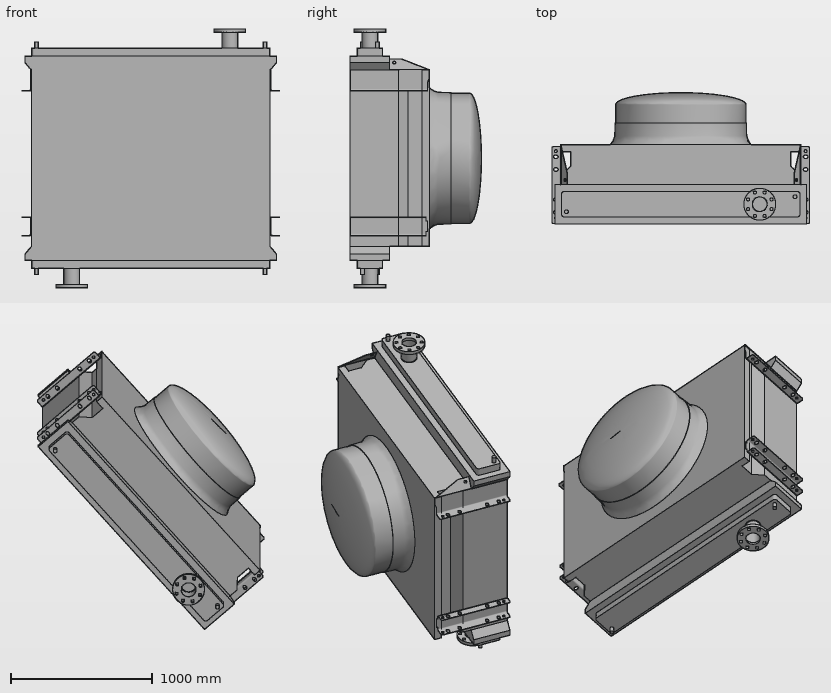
import cadquery as cq
import math


WALL_X = 844.0
CORE_HALF_HEIGHT = 622.0
CORE_DEPTH = 344.0
SHROUD_BACK_Y = 562.0

RECESS_DEPTH = 65.0
RECESS_BACK_Y = 510.0

HEADER_HALF_WIDTH = 890.0
HEADER_HALF_HEIGHT = 721.0
HEADER_EDGE_HEIGHT = 44.0
HEADER_DEPTH = 280.0

TANK_HALF_WIDTH = 842.0
TANK_WIDTH_Y = 181.0
TANK_HEIGHT = 57.0
TANK_CORNER_RADIUS = 20.0
TANK_Y = 140.0
TANK_TOP_Z = HEADER_HALF_HEIGHT + TANK_HEIGHT

STUD_DIAMETER = 27.0
STUD_HEIGHT = 44.0
STUD_X = 807.0
STUD_OFFSET_Y = 53.0

TOTAL_HALF_HEIGHT = 915.0
PIPE_X = 558.0
PIPE_DIAMETER = 113.0
PIPE_BORE = 102.0
FLANGE_DIAMETER = 225.0
FLANGE_THICKNESS = 25.0
BOLT_COUNT = 8
BOLT_CIRCLE_RADIUS = 90.0
BOLT_HOLE_DIAMETER = 22.0

HOOD_RADIUS = 461.0
HOOD_END_Y = 930.0
HOOD_DOME_HEIGHT = 86.0
HOOD_FLARE_END_Y = 714.0
HOOD_FLARE_TOP_RADIUS = 465.0
HOOD_FLARE_MIDDLE_Y = 600.0
HOOD_FLARE_MIDDLE_RADIUS = 474.0
HOOD_BASE_RADIUS = 498.0

SHEET = 4.0
BEND_RADIUS = 10.0
BRACKET_SPAN = 1820.0
BRACKET_FRONT_Y = 4.0
BRACKET_BACK_Y = 549.0
LIP_CORNER_RADIUS = 13.0

LIP_HOLE_X = 882.0
LIP_HOLE_MIDDLE_Y = 280.0
SLOT_OFFSETS_Y = (106.0, 195.0)
SLOT_LENGTH = 31.0
SLOT_WIDTH = 22.0
END_HOLE_OFFSET_Y = 236.0
END_HOLE_DIAMETER = 18.0

UPPER_LIP_Z = 475.0
UPPER_TAPER_BOTTOM_Z = 540.0
UPPER_TAPER_HEIGHT = 31.0

LOWER_TOP_Z = -414.0
LOWER_BOTTOM_Z = -547.0
LOWER_LIP_BACK_Y = 538.0
LOWER_RELIEF_HEIGHT = 30.0

FLAP_BASE_Z = 628.0
FLAP_LEAN = 30.0
FLAP_TOP_Z = 703.0
FLAP_PEAK_Y = 365.0
FLAP_BACK_Y = 556.0
FLAP_HOLE_Y = 313.0
FLAP_HOLE_Z = 677.0
FLAP_HOLE_DIAMETER = 20.0


def span_box(x0, x1, y0, y1, z0, z1):
    """Box between two opposite corners."""
    return cq.Workplane("XY").box(x1 - x0, y1 - y0, z1 - z0, centered=False).translate((x0, y0, z0))


def make_core():
    return span_box(-WALL_X, WALL_X, 0, SHROUD_BACK_Y, -CORE_HALF_HEIGHT, CORE_HALF_HEIGHT)


def cut_side_recesses(body):
    floor_x = WALL_X - RECESS_DEPTH
    recess = (
        cq.Workplane("XY", origin=(0, 0, -CORE_HALF_HEIGHT))
        .polyline([
            (-WALL_X, CORE_DEPTH),
            (-floor_x, CORE_DEPTH + RECESS_DEPTH),
            (-floor_x, RECESS_BACK_Y),
            (-WALL_X, RECESS_BACK_Y),
        ])
        .close()
        .extrude(2 * CORE_HALF_HEIGHT)
    )
    return body.cut(recess).cut(recess.mirror("YZ"))


def make_header():
    """Top header plate: its ends flare out from the core walls."""
    edge_z = HEADER_HALF_HEIGHT - HEADER_EDGE_HEIGHT
    return (
        cq.Workplane("XZ")
        .polyline([
            (-WALL_X, CORE_HALF_HEIGHT),
            (-HEADER_HALF_WIDTH, edge_z),
            (-HEADER_HALF_WIDTH, HEADER_HALF_HEIGHT),
            (HEADER_HALF_WIDTH, HEADER_HALF_HEIGHT),
            (HEADER_HALF_WIDTH, edge_z),
            (WALL_X, CORE_HALF_HEIGHT),
        ])
        .close()
        .extrude(-HEADER_DEPTH)
    )


def make_tank():
    tank = (
        cq.Workplane("XY", origin=(0, TANK_Y, HEADER_HALF_HEIGHT))
        .rect(2 * TANK_HALF_WIDTH, TANK_WIDTH_Y)
        .extrude(TANK_HEIGHT)
        .edges("|Z")
        .fillet(TANK_CORNER_RADIUS)
    )
    studs = (
        cq.Workplane("XY", origin=(0, TANK_Y, TANK_TOP_Z))
        .pushPoints([(-STUD_X, -STUD_OFFSET_Y), (STUD_X, STUD_OFFSET_Y)])
        .circle(STUD_DIAMETER / 2)
        .extrude(STUD_HEIGHT)
    )
    return tank.union(studs)


def make_pipe():
    """Pipe with a bolted flange, open down to the tank."""
    pipe_height = TOTAL_HALF_HEIGHT - TANK_TOP_Z
    pipe = (
        cq.Workplane("XY", origin=(PIPE_X, TANK_Y, TANK_TOP_Z))
        .circle(PIPE_DIAMETER / 2)
        .extrude(pipe_height)
    )
    flange = (
        cq.Workplane("XY", origin=(PIPE_X, TANK_Y, TOTAL_HALF_HEIGHT - FLANGE_THICKNESS))
        .circle(FLANGE_DIAMETER / 2)
        .extrude(FLANGE_THICKNESS)
        .faces(">Z")
        .workplane(origin=(PIPE_X, TANK_Y, 0))
        .polarArray(BOLT_CIRCLE_RADIUS, 180 / BOLT_COUNT, 360, BOLT_COUNT)
        .hole(BOLT_HOLE_DIAMETER)
    )
    bore = (
        cq.Workplane("XY", origin=(PIPE_X, TANK_Y, TANK_TOP_Z))
        .circle(PIPE_BORE / 2)
        .extrude(pipe_height)
    )
    return pipe.union(flange).cut(bore)


def make_hood():
    """Fan hood turned about Y: flared foot, straight barrel and elliptical dome.

    The flare leaves the barrel straight and ends at 45 degrees.
    """
    dome_start_y = HOOD_END_Y - HOOD_DOME_HEIGHT
    return (
        cq.Workplane("XY")
        .moveTo(HOOD_RADIUS, HOOD_FLARE_END_Y)
        .lineTo(HOOD_FLARE_TOP_RADIUS, HOOD_FLARE_END_Y)
        .spline(
            [(HOOD_FLARE_MIDDLE_RADIUS, HOOD_FLARE_MIDDLE_Y), (HOOD_BASE_RADIUS, SHROUD_BACK_Y)],
            tangents=[(0, -1), (1, -1)],
            includeCurrent=True,
        )
        .lineTo(0, SHROUD_BACK_Y)
        .lineTo(0, HOOD_END_Y)
        .ellipseArc(HOOD_RADIUS, HOOD_DOME_HEIGHT, 0, 90, sense=-1, startAtCurrent=True)
        .close()
        .revolve(360, (0, 0, 0), (0, 1, 0))
    )


def make_cooler():
    body = cut_side_recesses(make_core())
    upper_end = make_header().union(make_tank()).union(make_pipe())
    lower_end = upper_end.rotate((0, 0, 0), (0, 1, 0), 180)
    return body.union(upper_end).union(lower_end).union(make_hood())


def make_lip(bottom_z, back_y):
    """Flat lip of a left bracket, up to the bend, with a row of holes."""
    root_x = -WALL_X - SHEET - BEND_RADIUS
    lip = (
        span_box(-BRACKET_SPAN / 2, root_x, BRACKET_FRONT_Y, back_y, bottom_z, bottom_z + SHEET)
        .edges("|Z and <X")
        .fillet(LIP_CORNER_RADIUS)
    )
    slot_points = []
    end_hole_points = []
    for side in (-1, 1):
        slot_points += [(-LIP_HOLE_X, LIP_HOLE_MIDDLE_Y + side * offset) for offset in SLOT_OFFSETS_Y]
        end_hole_points.append((-LIP_HOLE_X, LIP_HOLE_MIDDLE_Y + side * END_HOLE_OFFSET_Y))
    plane = cq.Workplane("XY", origin=(0, 0, bottom_z))
    slots = plane.pushPoints(slot_points).slot2D(SLOT_LENGTH, SLOT_WIDTH).extrude(SHEET)
    end_holes = plane.pushPoints(end_hole_points).circle(END_HOLE_DIAMETER / 2).extrude(SHEET)
    return lip.cut(slots).cut(end_holes)


def make_bend(corner_z, up, back_y):
    """Rounded corner between a lip and the web; `up` is 1 if the web rises from the lip, else -1."""
    outer_radius = BEND_RADIUS + SHEET
    center_x = -WALL_X - outer_radius
    center_z = corner_z + up * outer_radius
    diagonal = math.sqrt(0.5)
    return (
        cq.Workplane("XZ", origin=(0, BRACKET_FRONT_Y, 0))
        .moveTo(center_x, corner_z)
        .threePointArc(
            (center_x + diagonal * outer_radius, center_z - up * diagonal * outer_radius),
            (-WALL_X, center_z),
        )
        .lineTo(-WALL_X - SHEET, center_z)
        .threePointArc(
            (center_x + diagonal * BEND_RADIUS, center_z - up * diagonal * BEND_RADIUS),
            (center_x, corner_z + up * SHEET),
        )
        .close()
        .extrude(BRACKET_FRONT_Y - back_y)
    )


def make_flap():
    """Pointed plate with a hole, folded inwards from the top edge of the upper bracket's web."""
    lean = math.radians(FLAP_LEAN)
    length = (FLAP_TOP_Z - FLAP_BASE_Z) / math.cos(lean)
    hole_height = (FLAP_HOLE_Z - FLAP_BASE_Z) / math.cos(lean)
    fold_x = -WALL_X - SHEET
    flap = (
        cq.Workplane("YZ", origin=(fold_x, 0, FLAP_BASE_Z))
        .polyline([
            (HEADER_DEPTH, 0),
            (FLAP_BACK_Y, 0),
            (FLAP_PEAK_Y, length),
            (HEADER_DEPTH, length),
        ])
        .close()
        .extrude(SHEET)
    )
    hole = (
        cq.Workplane("YZ", origin=(fold_x, FLAP_HOLE_Y, FLAP_BASE_Z + hole_height))
        .circle(FLAP_HOLE_DIAMETER / 2)
        .extrude(SHEET)
    )
    return flap.cut(hole).rotate((fold_x, 0, FLAP_BASE_Z), (fold_x, 1, FLAP_BASE_Z), FLAP_LEAN)


def make_upper_bracket():
    """Left upper bracket: a lip below a tall web that widens at the back, with a flap on top."""
    web_bottom_z = UPPER_LIP_Z + SHEET + BEND_RADIUS
    web = (
        cq.Workplane("YZ", origin=(-WALL_X - SHEET, 0, 0))
        .polyline([
            (BRACKET_FRONT_Y, web_bottom_z),
            (BRACKET_BACK_Y, web_bottom_z),
            (BRACKET_BACK_Y, UPPER_TAPER_BOTTOM_Z),
            (SHROUD_BACK_Y, UPPER_TAPER_BOTTOM_Z + UPPER_TAPER_HEIGHT),
            (SHROUD_BACK_Y, FLAP_BASE_Z),
            (HEADER_DEPTH, FLAP_BASE_Z),
            (HEADER_DEPTH, CORE_HALF_HEIGHT),
            (BRACKET_FRONT_Y, CORE_HALF_HEIGHT),
        ])
        .close()
        .extrude(SHEET)
    )
    lip = make_lip(UPPER_LIP_Z, BRACKET_BACK_Y)
    bend = make_bend(UPPER_LIP_Z, 1, BRACKET_BACK_Y)
    return web.union(bend).union(lip).union(make_flap())


def make_lower_bracket():
    """Left lower bracket: a channel with a lip along each edge of the web."""
    bend_height = SHEET + BEND_RADIUS
    bracket = (
        cq.Workplane("YZ", origin=(-WALL_X - SHEET, 0, 0))
        .polyline([
            (BRACKET_FRONT_Y, LOWER_BOTTOM_Z + bend_height),
            (LOWER_LIP_BACK_Y, LOWER_BOTTOM_Z + bend_height),
            (LOWER_LIP_BACK_Y, LOWER_BOTTOM_Z + LOWER_RELIEF_HEIGHT),
            (BRACKET_BACK_Y, LOWER_BOTTOM_Z + LOWER_RELIEF_HEIGHT),
            (BRACKET_BACK_Y, LOWER_TOP_Z - LOWER_RELIEF_HEIGHT),
            (LOWER_LIP_BACK_Y, LOWER_TOP_Z - LOWER_RELIEF_HEIGHT),
            (LOWER_LIP_BACK_Y, LOWER_TOP_Z - bend_height),
            (BRACKET_FRONT_Y, LOWER_TOP_Z - bend_height),
        ])
        .close()
        .extrude(SHEET)
    )
    for bottom_z, corner_z, up in (
        (LOWER_BOTTOM_Z, LOWER_BOTTOM_Z, 1),
        (LOWER_TOP_Z - SHEET, LOWER_TOP_Z, -1),
    ):
        bracket = bracket.union(make_bend(corner_z, up, LOWER_LIP_BACK_Y))
        bracket = bracket.union(make_lip(bottom_z, LOWER_LIP_BACK_Y))
    return bracket


cooler = make_cooler()
brackets = []
for left_bracket in (make_upper_bracket(), make_lower_bracket()):
    brackets.append(left_bracket.val())
    brackets.append(left_bracket.mirror("YZ").val())

result = cq.Compound.makeCompound([cooler.val(), *brackets])